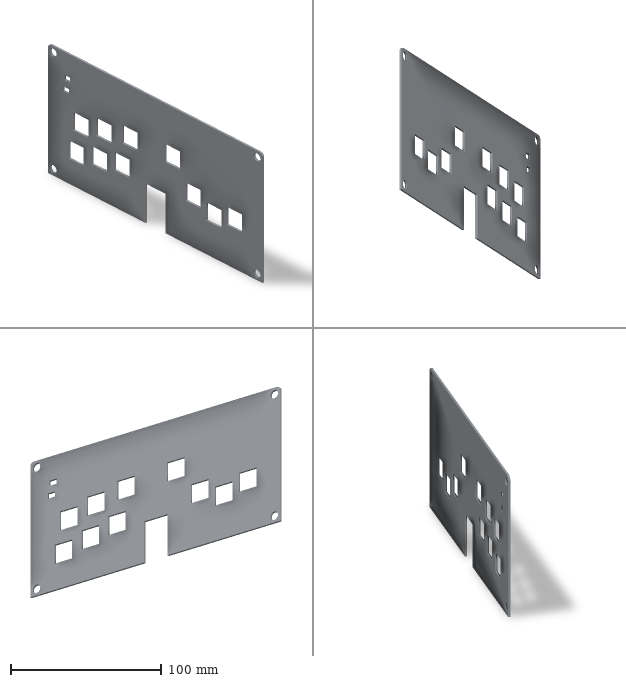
import cadquery as cq

plate_width = 201.0
plate_thickness = 1.5
plate_height = 100.9
top_corner_radius = 3.0

mount_hole_diameter = 6.0
mount_hole_inset = 5.0

notch_left = -9.0
notch_right = 9.8
notch_depth = 30.7

switch_window_size = 14.0
switch_window_centers = [
    (-69.7, 0.0),
    (-48.0, 4.8),
    (-23.7, 9.6),
    (-74.0, -23.7),
    (-52.3, -19.0),
    (-31.0, -14.7),
    (16.3, 12.0),
    (35.5, -9.8),
    (54.9, -17.0),
    (74.2, -12.3),
]

small_window_width = 5.6
small_window_height = 3.8
small_window_centers = [
    (-82.4, 30.5),
    (-83.6, 21.3),
]


def make_plate():
    plate = cq.Workplane("XY").box(plate_width, plate_thickness, plate_height)
    top_corners = plate.edges("|Y").edges(">Z")
    return top_corners.fillet(top_corner_radius)


def through_sketch():
    """Workplane on the plate's mid-plane, with local axes along X and Z."""
    return cq.Workplane("XZ")


def mount_holes():
    spacing_x = plate_width - 2 * mount_hole_inset
    spacing_z = plate_height - 2 * mount_hole_inset
    return (
        through_sketch()
        .rect(spacing_x, spacing_z, forConstruction=True)
        .vertices()
        .circle(mount_hole_diameter / 2)
        .extrude(plate_thickness, both=True)
    )


def windows(centers, width, height):
    return (
        through_sketch()
        .pushPoints(centers)
        .rect(width, height)
        .extrude(plate_thickness, both=True)
    )


def bottom_notch():
    notch_center_x = (notch_left + notch_right) / 2
    return (
        through_sketch()
        .center(notch_center_x, -plate_height / 2)
        .rect(notch_right - notch_left, 2 * notch_depth)
        .extrude(plate_thickness, both=True)
    )


result = (
    make_plate()
    .cut(mount_holes())
    .cut(bottom_notch())
    .cut(windows(switch_window_centers, switch_window_size, switch_window_size))
    .cut(windows(small_window_centers, small_window_width, small_window_height))
)